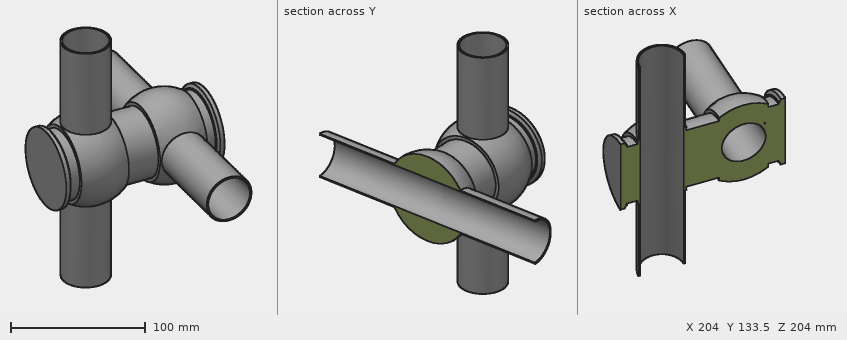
import cadquery as cq

body_length = 133.5
neck_radius = 28.0
flange_radius = 32.2
flange_rim = 3.7
flange_taper = 1.5
flange_land = 0.5
flange_foot_radius = 29.2
ball_radius = 36.7
ball_width = 40.0
ball_inset = 33.7

pipe_length = 204.0
pipe_radius = 19.0
bore_radius = 17.5

ball_offset = body_length / 2 - ball_inset


def cylinder(radius, length, axis):
    """Cylinder centred on the origin along the given axis."""
    planes = {"X": "YZ", "Y": "XZ", "Z": "XY"}
    return cq.Workplane(planes[axis]).circle(radius).extrude(length / 2, both=True)


def end_flange():
    """Flange at the -Y end, tapering inwards to a narrow land around the neck."""
    outer_face = -body_length / 2
    rim_end = outer_face + flange_rim
    taper_end = rim_end + flange_taper
    land_end = taper_end + flange_land
    profile = [
        (0, outer_face),
        (flange_radius, outer_face),
        (flange_radius, rim_end),
        (flange_foot_radius, taper_end),
        (flange_foot_radius, land_end),
        (0, land_end),
    ]
    return cq.Workplane("XY").polyline(profile).close().revolve(360, (0, 0), (0, 1))


def ball():
    """Sphere cut flat on its two Y sides."""
    return cq.Workplane("XY").sphere(ball_radius).intersect(cylinder(2 * ball_radius, ball_width, "Y"))


front_flange = end_flange()
result = cylinder(neck_radius, body_length, "Y")
result = result.union(front_flange).union(front_flange.mirror("XZ"))

pipe_runs = (("Z", -ball_offset), ("X", ball_offset))
for axis, y in pipe_runs:
    ball_and_pipe = ball().union(cylinder(pipe_radius, pipe_length, axis))
    result = result.union(ball_and_pipe.translate((0, y, 0)))

for axis, y in pipe_runs:
    result = result.cut(cylinder(bore_radius, pipe_length, axis).translate((0, y, 0)))